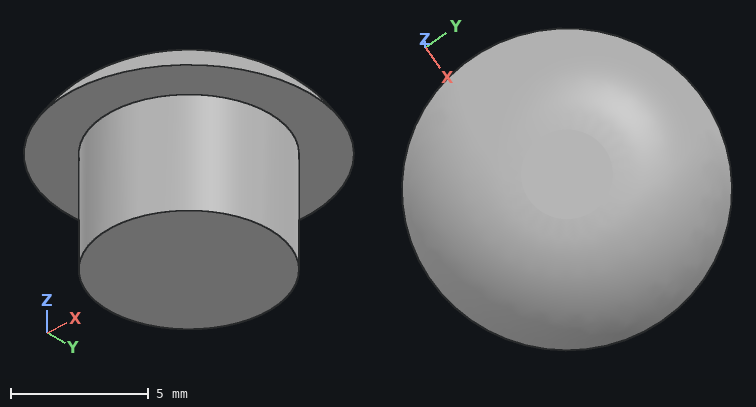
import cadquery as cq
import math

head_diameter = 12.0
shank_diameter = 8.0
total_height = 7.5
shank_height = 5.0
dome_radius = 5.0

head_radius = head_diameter / 2
head_height = total_height - shank_height
arc_center_z = total_height - dome_radius
arc_width = math.sqrt(dome_radius**2 - (dome_radius - head_height) ** 2)
flat_radius = head_radius - arc_width

half_angle = math.asin(arc_width / dome_radius) / 2
arc_middle = (
    flat_radius + dome_radius * math.sin(half_angle),
    arc_center_z + dome_radius * math.cos(half_angle),
)


def make_shank():
    """Plain cylinder standing on the XY plane."""
    return cq.Workplane("XY").circle(shank_diameter / 2).extrude(shank_height)


def make_head():
    """Domed head with a flat top, revolved about the Z axis."""
    return (
        cq.Workplane("XZ")
        .moveTo(0, shank_height)
        .lineTo(head_radius, shank_height)
        .threePointArc(arc_middle, (flat_radius, total_height))
        .lineTo(0, total_height)
        .close()
        .revolve(360, (0, 0, 0), (0, 1, 0))
    )


result = make_shank().union(make_head())